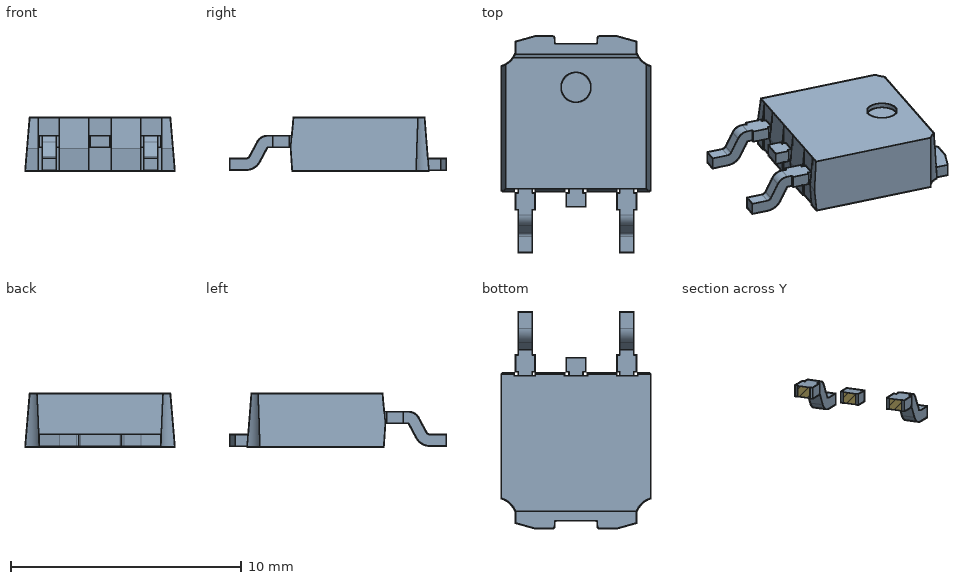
import cadquery as cq
import math

body_width = 6.5
body_height = 2.33
base_band = 0.05
base_half_width = body_width / 2
top_half_width = 3.06
base_back = 3.94
top_back = 3.76
base_front = -1.995
parting_front = -2.06
top_front = -1.94
parting_height = 1.0

corner_cut_radius = 0.92
corner_cut_x = 3.5
corner_cut_y = 4.28

dimple_diameter = 1.3
dimple_y = 2.475
dimple_depth = 0.21

embedded_length = 0.47

lead_pitch = 2.2
lead_width = 0.61
lead_wide_width = 0.86
lead_thickness = 0.51
lead_top = 1.54
lead_root = top_front + embedded_length
wide_start = -2.11
outer_wide_end = -2.84
middle_lead_end = -2.72
bend_start = -3.06
bend_angle = math.radians(62)
foot_top = 0.555
foot_inner_radius = 0.18
foot_end = -4.705

outer_recess_width = 0.9
middle_recess_width = 0.99
outer_recess_pitch = 2.22

tab_half_width = 2.635
tab_back = 4.705
tab_shoulder = 4.46
tab_flat_half_width = 1.77
tab_bottom = 0.04
tab_top = foot_top
tab_front = top_back - embedded_length
notch_half_width = 0.92
notch_floor = 4.37
notch_mouth_radius = 0.11
notch_floor_radius = 0.06


def block(x_center, width, y_front, y_back, z_bottom, z_top):
    """Box centred on x_center in X, between the given Y and Z limits."""
    size = (width, y_back - y_front, z_top - z_bottom)
    box = cq.Workplane().box(*size, centered=(True, False, False))
    return box.translate((x_center, y_front, z_bottom))


def make_body():
    side_profile = [
        (base_front, 0),
        (base_back, 0),
        (base_back, base_band),
        (top_back, body_height),
        (top_front, body_height),
        (parting_front, parting_height),
        (base_front, base_band),
    ]
    end_profile = [
        (-base_half_width, 0),
        (base_half_width, 0),
        (base_half_width, base_band),
        (top_half_width, body_height),
        (-top_half_width, body_height),
        (-base_half_width, base_band),
    ]
    body = cq.Workplane("YZ").polyline(side_profile).close().extrude(base_half_width, both=True)
    taper = cq.Workplane("XZ").polyline(end_profile).close().extrude(base_back, both=True)
    body = body.intersect(taper)

    for side in (-1, 1):
        cutter = cq.Workplane().center(side * corner_cut_x, corner_cut_y)
        body = body.cut(cutter.circle(corner_cut_radius).extrude(body_height))

    dimple = cq.Workplane().workplane(offset=body_height - dimple_depth).center(0, dimple_y)
    body = body.cut(dimple.circle(dimple_diameter / 2).extrude(dimple_depth))

    recesses = [
        (-outer_recess_pitch, outer_recess_width),
        (0, middle_recess_width),
        (outer_recess_pitch, outer_recess_width),
    ]
    for x_center, width in recesses:
        body = body.cut(block(x_center, width, parting_front, top_front, 0, body_height))
    return body


def make_tab():
    """Heat-sink tab, built as one half and mirrored across the middle plane."""
    half_outline = [
        (0, tab_front),
        (tab_half_width, tab_front),
        (tab_half_width, tab_shoulder),
        (tab_flat_half_width, tab_back),
        (notch_half_width, tab_back),
        (notch_half_width, notch_floor),
        (0, notch_floor),
    ]
    half = (
        cq.Workplane().workplane(offset=tab_bottom).polyline(half_outline).close()
        .extrude(tab_top - tab_bottom)
    )
    middle_height = (tab_bottom + tab_top) / 2
    for corner_y, radius in [(tab_back, notch_mouth_radius), (notch_floor, notch_floor_radius)]:
        corner = cq.selectors.NearestToPointSelector((notch_half_width, corner_y, middle_height))
        half = half.edges("|Z").edges(corner).fillet(radius)
    return half.union(half.mirror("YZ"))


def make_wide_part(x_center, y_end):
    """Wider stretch of a lead just outside the body, ending at y_end."""
    return block(x_center, lead_wide_width, y_end, wide_start, lead_top - lead_thickness, lead_top)


def make_bent_lead(x_center):
    """Gull-wing lead: the upper bend pivots on its sharp inner corner, the lower bend is rounded."""
    lead_bottom = lead_top - lead_thickness
    foot_outer_radius = foot_inner_radius + lead_thickness
    drop = lead_top - foot_top
    slope_length = (drop - foot_outer_radius * (1 - math.cos(bend_angle))) / math.sin(bend_angle)
    run = foot_outer_radius * math.sin(bend_angle) + slope_length * math.cos(bend_angle)
    foot_start = bend_start - run
    foot_center_z = foot_top + foot_inner_radius

    def on_upper_bend(angle):
        y = bend_start - lead_thickness * math.sin(angle)
        return (y, lead_bottom + lead_thickness * math.cos(angle))

    def on_lower_bend(radius, angle):
        return (foot_start + radius * math.sin(angle), foot_center_z - radius * math.cos(angle))

    half_angle = bend_angle / 2
    profile = (
        cq.Workplane("YZ")
        .moveTo(lead_root, lead_top)
        .lineTo(bend_start, lead_top)
        .threePointArc(on_upper_bend(half_angle), on_upper_bend(bend_angle))
        .lineTo(*on_lower_bend(foot_inner_radius, bend_angle))
        .threePointArc(on_lower_bend(foot_inner_radius, half_angle), (foot_start, foot_top))
        .lineTo(foot_end, foot_top)
        .lineTo(foot_end, foot_top - lead_thickness)
        .lineTo(foot_start, foot_top - lead_thickness)
        .threePointArc(
            on_lower_bend(foot_outer_radius, half_angle),
            on_lower_bend(foot_outer_radius, bend_angle),
        )
        .lineTo(bend_start, lead_bottom)
        .lineTo(lead_root, lead_bottom)
        .close()
    )
    strip = profile.extrude(lead_width / 2, both=True).translate((x_center, 0, 0))
    return strip.union(make_wide_part(x_center, outer_wide_end))


def make_middle_lead():
    neck = block(0, lead_width, wide_start, lead_root, lead_top - lead_thickness, lead_top)
    return neck.union(make_wide_part(0, middle_lead_end))


result = make_body().union(make_tab()).union(make_middle_lead())
for lead_x in (-lead_pitch, lead_pitch):
    result = result.union(make_bent_lead(lead_x))